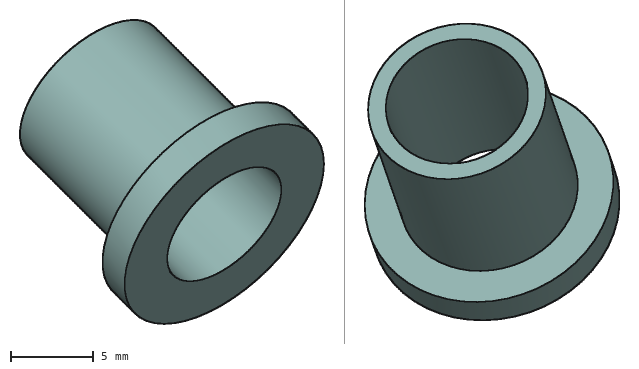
import cadquery as cq

flange_diameter = 15.3
flange_thickness = 2.19
sleeve_diameter = 10.94
bore_diameter = 8.75
total_length = 13.13

sleeve = cq.Workplane("YZ").circle(sleeve_diameter / 2).extrude(total_length)

flange = (
    cq.Workplane("YZ", origin=(total_length - flange_thickness, 0, 0))
    .circle(flange_diameter / 2)
    .extrude(flange_thickness)
)

bore = cq.Workplane("YZ").circle(bore_diameter / 2).extrude(total_length)

result = sleeve.union(flange).cut(bore)